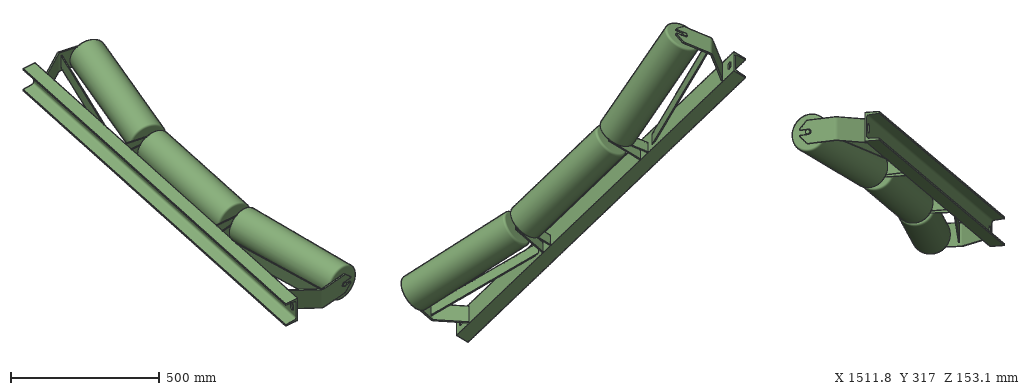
import cadquery as cq
import math

OVERALL_LENGTH = 1512.0

BEAM_LENGTH = 1500.0
BEAM_HEIGHT = 100.0
BEAM_DEPTH = 50.0
WEB_THICKNESS = 6.0
FLANGE_TIP_THICKNESS = 6.5
FLANGE_TAPER = 0.08
ROOT_RADIUS = 8.5
MOUNT_SLOT_X = 726.0
MOUNT_SLOT_WIDTH = 17.0
MOUNT_SLOT_HEIGHT = 32.0

ROLLER_DIAMETER = 133.0
ROLLER_LENGTH = 470.0
ROLLER_EDGE_RADIUS = 8.0
SHAFT_DIAMETER = 17.0
SHAFT_OVERHANG = 10.0
ROLLER_YAW = 10.0
ROLLER_PITCH = 2.5
OUTER_AXIS_Z = -0.8
MIDDLE_ROLLER_Y = 115.0
SIDE_ROLLER_X = 499.0
SIDE_ROLLER_Y = 162.0
ROLLER_RISE = ROLLER_LENGTH * math.sin(math.radians(ROLLER_PITCH))
SIDE_ROLLER_Z = OUTER_AXIS_Z - ROLLER_RISE / 2
INNER_AXIS_Z = OUTER_AXIS_Z - ROLLER_RISE
YAW_SLOPE = math.tan(math.radians(ROLLER_YAW))

SHAFT_SLOT_WIDTH = 18.0
SHAFT_SLOT_REACH = 75.0
SHAFT_SLOT_SPAN = 90.0

OUTER_THICKNESS = 6.0
OUTER_HEIGHT = 82.0
OUTER_FOOT_X = 690.0
OUTER_CORNER_EXCESS = 0.9
OUTER_BEND_X = OVERALL_LENGTH / 2 + OUTER_CORNER_EXCESS
OUTER_BEND_Y = 100.0
OUTER_BEND_RADIUS = 18.0
OUTER_TIP_Y = 235.0
OUTER_TIP_CHAMFER = 27.0
OUTER_SLOT_Y = 203.0

INNER_THICKNESS = 5.0
INNER_STRAIGHT_X = 240.0
INNER_SLANT_FOOT_X = 286.0
INNER_TOP_Y = 138.0
INNER_BOTTOM_Z = -45.0
INNER_HEIGHT = 2 * (INNER_AXIS_Z - INNER_BOTTOM_Z)
INNER_BEND_RADIUS = 5.0
INNER_SLOT_Y = 113.0

STRUT_THICKNESS = 5.0
STRUT_HEIGHT = 55.0
STRUT_FOOT_X = 316.0
STRUT_TOP_Y = 110.0

SELECT_MARGIN = 0.8


def mirrored_pair(left):
    """The left-hand body and its mirror image across the YZ plane."""
    return [left.val(), left.mirror("YZ").val()]


def box_around(point):
    """A selector for the edge whose middle is at the given point."""
    low = tuple(c - SELECT_MARGIN for c in point)
    high = tuple(c + SELECT_MARGIN for c in point)
    return cq.selectors.BoxSelector(low, high)


def line_offset(start, end, distance):
    """The line from start to end, moved sideways to its left by distance."""
    dx, dy = end[0] - start[0], end[1] - start[1]
    length = math.hypot(dx, dy)
    shift_x, shift_y = -dy / length * distance, dx / length * distance
    return (start[0] + shift_x, start[1] + shift_y), (end[0] + shift_x, end[1] + shift_y)


def crossing(line_a, line_b):
    """The point where two lines meet."""
    (ax, ay), (bx, by) = line_a
    (cx, cy), (dx, dy) = line_b
    spread = (bx - ax) * (dy - cy) - (by - ay) * (dx - cx)
    along = ((cx - ax) * (dy - cy) - (cy - ay) * (dx - cx)) / spread
    return ax + along * (bx - ax), ay + along * (by - ay)


def offset_path(points, distance):
    """A bent path moved to its left by distance, with mitred corners."""
    lines = [line_offset(a, b, distance) for a, b in zip(points, points[1:])]
    corners = [crossing(a, b) for a, b in zip(lines, lines[1:])]
    return [lines[0][0], *corners, lines[-1][1]]


def plate(path, thickness, height, bottom):
    """A strip with the path as its right-hand face, standing along Z, cut off at the beam's back."""
    outline = path + offset_path(path, thickness)[::-1]
    strip = cq.Workplane("XY", origin=(0, 0, bottom)).polyline(outline).close().extrude(height)
    beam_side = (
        cq.Workplane("XY")
        .box(2 * OVERALL_LENGTH, OVERALL_LENGTH, OVERALL_LENGTH)
        .translate((0, -OVERALL_LENGTH / 2, 0))
    )
    return strip.cut(beam_side)


def shaft_slot(floor_y, z, x_centre, x_length):
    """A cutter for a slot that opens toward +Y and has a round floor centred on floor_y."""
    start_x = x_centre - x_length / 2
    floor = cq.Workplane("YZ", origin=(start_x, floor_y, z)).circle(SHAFT_SLOT_WIDTH / 2).extrude(x_length)
    throat = (
        cq.Workplane("YZ", origin=(start_x, floor_y + SHAFT_SLOT_REACH / 2, z))
        .rect(SHAFT_SLOT_REACH, SHAFT_SLOT_WIDTH)
        .extrude(x_length)
    )
    return floor.union(throat)


def beam():
    half = BEAM_HEIGHT / 2
    web_y = -WEB_THICKNESS
    tip_z = half - FLANGE_TIP_THICKNESS
    root_z = tip_z - FLANGE_TAPER * (BEAM_DEPTH - WEB_THICKNESS)
    outline = [
        (0, -half), (-BEAM_DEPTH, -half), (-BEAM_DEPTH, -tip_z), (web_y, -root_z),
        (web_y, root_z), (-BEAM_DEPTH, tip_z), (-BEAM_DEPTH, half), (0, half),
    ]
    channel = cq.Workplane("YZ").polyline(outline).close().extrude(BEAM_LENGTH / 2, both=True)
    for side in (-1, 1):
        root_edge = box_around((0, web_y, side * root_z))
        channel = channel.edges("|X").edges(root_edge).fillet(ROOT_RADIUS)
    mount_slots = (
        cq.Workplane("XZ")
        .pushPoints([(-MOUNT_SLOT_X, 0), (MOUNT_SLOT_X, 0)])
        .slot2D(MOUNT_SLOT_HEIGHT, MOUNT_SLOT_WIDTH, 90)
        .extrude(WEB_THICKNESS)
    )
    return channel.cut(mount_slots)


def centred_cylinder(diameter, length):
    """A cylinder along X, centred on the origin."""
    return cq.Workplane("YZ", origin=(-length / 2, 0, 0)).circle(diameter / 2).extrude(length)


def roller():
    """A roller with its shaft, centred on the origin and lying along X."""
    shell = centred_cylinder(ROLLER_DIAMETER, ROLLER_LENGTH).edges().fillet(ROLLER_EDGE_RADIUS)
    return shell.union(centred_cylinder(SHAFT_DIAMETER, ROLLER_LENGTH + 2 * SHAFT_OVERHANG))


def left_roller():
    return (
        roller()
        .rotate((0, 0, 0), (0, 1, 0), ROLLER_PITCH)
        .rotate((0, 0, 0), (0, 0, 1), -ROLLER_YAW)
        .translate((-SIDE_ROLLER_X, SIDE_ROLLER_Y, SIDE_ROLLER_Z))
    )


def outer_face_x(y):
    """X of the left outer bracket's outer face on its upper leg."""
    return -OUTER_BEND_X + (y - OUTER_BEND_Y) * YAW_SLOPE


def left_outer_bracket():
    foot = (-OUTER_FOOT_X, 0)
    bend = (-OUTER_BEND_X, OUTER_BEND_Y)
    tip = (outer_face_x(OUTER_TIP_Y), OUTER_TIP_Y)
    below_foot = (2 * foot[0] - bend[0], -bend[1])
    outer_path = [tip, bend, below_foot]
    inner_bend = offset_path(outer_path, OUTER_THICKNESS)[1]
    bracket = plate(outer_path, OUTER_THICKNESS, OUTER_HEIGHT, -OUTER_HEIGHT / 2)
    bracket = bracket.edges("|Z").edges("<X").fillet(OUTER_BEND_RADIUS)
    bracket = bracket.edges("|Z").edges(box_around((*inner_bend, 0))).fillet(OUTER_BEND_RADIUS - OUTER_THICKNESS)
    bracket = bracket.faces(">Y").edges("<Z or >Z").chamfer(OUTER_TIP_CHAMFER)
    slot = shaft_slot(OUTER_SLOT_Y, 0, -OUTER_BEND_X, SHAFT_SLOT_SPAN)
    return bracket.cut(slot)


def left_inner_bracket():
    slant_shift = INNER_TOP_Y * YAW_SLOPE
    outer_path = [
        (-INNER_STRAIGHT_X, -INNER_TOP_Y),
        (-INNER_STRAIGHT_X, INNER_TOP_Y),
        (-INNER_SLANT_FOOT_X + slant_shift, INNER_TOP_Y),
        (-INNER_SLANT_FOOT_X - slant_shift, -INNER_TOP_Y),
    ]
    bracket = plate(outer_path, INNER_THICKNESS, INNER_HEIGHT, INNER_BOTTOM_Z)
    bracket = bracket.faces(">Y").edges("|Z").fillet(INNER_BEND_RADIUS)
    slot = shaft_slot(INNER_SLOT_Y, INNER_AXIS_Z, -INNER_STRAIGHT_X, SHAFT_SLOT_SPAN)
    return bracket.cut(slot)


def left_strut():
    foot = (-STRUT_FOOT_X, 0)
    top = (outer_face_x(STRUT_TOP_Y) + OUTER_THICKNESS / 2, STRUT_TOP_Y)
    below_foot = (2 * foot[0] - top[0], -top[1])
    path = line_offset(top, below_foot, -STRUT_THICKNESS / 2)
    return plate(list(path), STRUT_THICKNESS, STRUT_HEIGHT, -STRUT_HEIGHT / 2).cut(left_outer_bracket())


middle_roller = roller().translate((0, MIDDLE_ROLLER_Y, INNER_AXIS_Z))
result = cq.Compound.makeCompound([
    beam().val(),
    middle_roller.val(),
    *mirrored_pair(left_roller()),
    *mirrored_pair(left_outer_bracket()),
    *mirrored_pair(left_inner_bracket()),
    *mirrored_pair(left_strut()),
])